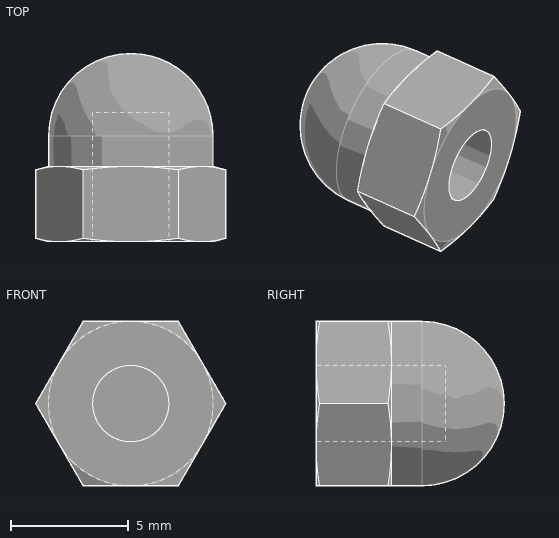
import cadquery as cq
import math

across_corners = 8.08
across_flats = across_corners * math.cos(math.pi / 6)
total_length = 8.0
hex_length = 3.2
hole_diameter = 3.24
hole_depth = 5.495
chamfer_angle = math.radians(15)

corner_radius = across_corners / 2
dome_radius = across_flats / 2
dome_start = total_length - dome_radius
chamfer_length = (corner_radius - dome_radius) * math.tan(chamfer_angle)


def hex_body():
    """Hexagonal prism with both ends cut conically at the corners."""
    prism = cq.Workplane("XZ").polygon(6, across_corners).extrude(-hex_length)
    envelope = (
        cq.Workplane("XY")
        .moveTo(0, 0)
        .lineTo(dome_radius, 0)
        .lineTo(corner_radius, chamfer_length)
        .lineTo(corner_radius, hex_length - chamfer_length)
        .lineTo(dome_radius, hex_length)
        .lineTo(0, hex_length)
        .close()
        .revolve(360, (0, 0, 0), (0, 1, 0))
    )
    return prism.intersect(envelope)


def domed_cap():
    """Cylindrical collar ending in a hemisphere."""
    arc_offset = dome_radius * math.sqrt(0.5)
    return (
        cq.Workplane("XY")
        .moveTo(0, hex_length)
        .lineTo(dome_radius, hex_length)
        .lineTo(dome_radius, dome_start)
        .threePointArc((arc_offset, dome_start + arc_offset), (0, total_length))
        .close()
        .revolve(360, (0, 0, 0), (0, 1, 0))
    )


def blind_hole():
    """Flat-bottomed bore entering from the open face."""
    return cq.Workplane("XZ").circle(hole_diameter / 2).extrude(-hole_depth)


result = hex_body().union(domed_cap()).cut(blind_hole())